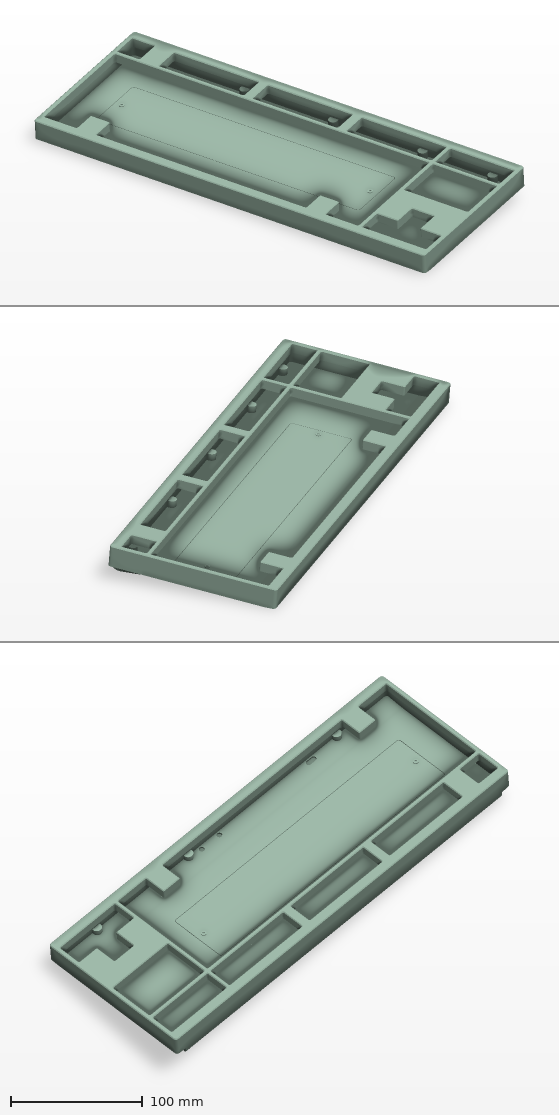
import cadquery as cq


CASE_WIDTH = 356.5
CASE_DEPTH = 137.3
CORNER_RADIUS = 2.5
TILT = 4.5
FRONT_EDGE_Y = -69.2
FRONT_EDGE_Z = 16.8

SIDE_MARGIN = 4.5
KEY_GAP = 0.7
COLUMNS = 18.25
ROWS = 6.25
FUNCTION_ROW = 5.25
NAVIGATION_COLUMN = 15.25
MAIN_COLUMNS = 15
MAIN_ROWS = 5
FUNCTION_GROUPS = [(0, 1), (2, 6), (6.5, 10.5), (11, 15), (NAVIGATION_COLUMN, COLUMNS)]
BLANKED_COLUMNS = [1.5, 12.5]
KEY_PITCH = (CASE_WIDTH - 2 * SIDE_MARGIN) / COLUMNS
GRID_LEFT = -COLUMNS * KEY_PITCH / 2
GRID_FRONT = (CASE_DEPTH - ROWS * KEY_PITCH) / 2

FRAME_WEB = 8.2
FRAME_DEPTH = 10.7
SIDE_DEPTH = 17.5
FLOOR_DEPTH = 16.5
BLANK_DEPTH = 32.0

RIM_CHAMFER = 0.7
OPENING_CHAMFER = 0.7
OPENING_RADIUS = 1.0

SIDE_WALL = 3.5
END_WALL = 7.5
FRONT_FLOOR_Z = 2.32

POST_DIAMETER = 8.0
REAR_POST_Y = 128.0
FRONT_POST_Y = 8.5
REAR_POST_X = [-151.5, -71.7, 9.3, 91.0, 154.8]
FRONT_POST_X = [-120.5, 38.0, 136.0]

HOLE_DIAMETER = 4.3
HOLE_DEPTH = 1.5
HOLE_Y = -57.5
HOLE_X = [7.0, 26.0]
SLOT_X = -91.0
SLOT_LENGTH = 9.5

PLATE_WIDTH = 239.5
PLATE_LENGTH = 50.0
PLATE_X = -31.5
PLATE_Y = 69.2
PLATE_THICKNESS = 2.0
PLATE_RADIUS = 1.8
PLATE_CLEARANCE = 0.5
STUD_DIAMETER = 4.3
STUD_BORE = 2.07
STUD_HEIGHT = 0.7
STUD_SPACING = 227.0

VALLEY_FRONT_Y = 3.5
VALLEY_FRONT_FLANK = (8.0, 1.25)
VALLEY_CREST = (18.5, 3.03)
VALLEY_REAR_FLANK = (29.2, 1.5)
VALLEY_REAR_Y = 36.5
FOOT_REAR_Y = 51.0
HEEL_START = (62.8, 0.9)
HEEL_END = (69.5, 6.5)
SIDE_LEDGE = 9.0
LEDGE_RISE = 0.55
REAR_BEVEL = 1.8
FRONT_BEVEL = 42.8


def tilted(body):
    """Move a body from the level position to its place in the tilted case."""
    turned = body.rotate((0, 0, 0), (1, 0, 0), TILT)
    return turned.translate((0, FRONT_EDGE_Y, FRONT_EDGE_Z))


def rounded_block(width, front, rear, top, bottom, radius, center_x=0):
    """Upright block with rounded vertical corners; top and bottom are heights."""
    return (
        cq.Workplane("XY", origin=(center_x, (front + rear) / 2, bottom))
        .rect(width, rear - front)
        .extrude(top - bottom)
        .edges("|Z")
        .fillet(radius)
    )


def key_x(column):
    return GRID_LEFT + column * KEY_PITCH


def key_y(row):
    return GRID_FRONT + row * KEY_PITCH


def key_block(first_column, last_column, first_row, last_row, gap=KEY_GAP):
    """Block covering a range of keys, widened by the gap on every side."""
    left = key_x(first_column) - gap
    right = key_x(last_column) + gap
    front = key_y(first_row) - gap
    rear = key_y(last_row) + gap
    return (
        cq.Workplane("XY", origin=((left + right) / 2, (front + rear) / 2, -FRAME_DEPTH))
        .rect(right - left, rear - front)
        .extrude(FRAME_DEPTH)
    )


def case_block(top, bottom):
    return rounded_block(CASE_WIDTH, 0, CASE_DEPTH, top, bottom, CORNER_RADIUS)


def cavity_block(top, bottom):
    width = CASE_WIDTH - 2 * SIDE_WALL
    return rounded_block(width, END_WALL, CASE_DEPTH - END_WALL, top, bottom, CORNER_RADIUS)


def key_openings():
    """One block for each opening of the frame."""
    openings = [
        key_block(first, last, FUNCTION_ROW, ROWS)
        for first, last in FUNCTION_GROUPS
    ]

    main = key_block(0, MAIN_COLUMNS, 0, MAIN_ROWS)
    for column in BLANKED_COLUMNS:
        main = main.cut(key_block(column, column + 1, -1, 1, -KEY_GAP))
    openings.append(main)

    openings.append(key_block(NAVIGATION_COLUMN, COLUMNS, 3, MAIN_ROWS))
    up_column = NAVIGATION_COLUMN + 1
    arrow_row = key_block(NAVIGATION_COLUMN, COLUMNS, 0, 1)
    openings.append(arrow_row.union(key_block(up_column, up_column + 1, 0, 2)))
    return [opening.edges("|Z").fillet(OPENING_RADIUS) for opening in openings]


def make_frame():
    frame = case_block(0, -FRAME_DEPTH).faces(">Z").edges().chamfer(RIM_CHAMFER)
    frame = frame.cut(cavity_block(-FRAME_WEB, -FRAME_DEPTH))
    for opening in key_openings():
        frame = frame.cut(opening)
    opening_rims = [edge for wire in frame.faces(">Z").val().innerWires() for edge in wire.Edges()]
    frame = frame.newObject(opening_rims).chamfer(OPENING_CHAMFER)
    return tilted(frame)


def underside_envelope():
    """Everything above the underside: flat front, valley, rear foot and round heel."""
    front = -CASE_DEPTH
    rear = HEEL_END[0]
    valley = [VALLEY_FRONT_FLANK, VALLEY_CREST, VALLEY_REAR_FLANK, (VALLEY_REAR_Y, 0)]
    return (
        cq.Workplane("YZ", origin=(-CASE_WIDTH, 0, 0))
        .moveTo(front, BLANK_DEPTH)
        .lineTo(front, 0)
        .lineTo(VALLEY_FRONT_Y, 0)
        .spline(valley, includeCurrent=True)
        .lineTo(FOOT_REAR_Y, 0)
        .lineTo(*HEEL_START)
        .tangentArcPoint(HEEL_END, relative=False)
        .lineTo(rear, BLANK_DEPTH)
        .close()
        .extrude(2 * CASE_WIDTH)
    )


def bevel_section(y, lean):
    half = CASE_WIDTH / 2
    keel_half = half - SIDE_LEDGE
    keel_top = -SIDE_DEPTH - LEDGE_RISE
    corners = [
        (-half, -FRAME_DEPTH),
        (half, -FRAME_DEPTH),
        (half, -SIDE_DEPTH),
        (keel_half, keel_top),
        (keel_half - lean, -BLANK_DEPTH),
        (lean - keel_half, -BLANK_DEPTH),
        (-keel_half, keel_top),
        (-half, -SIDE_DEPTH),
    ]
    return cq.Wire.makePolygon([cq.Vector(x, y, z) for x, z in corners], close=True)


def side_bevels():
    """Envelope with a ledge under each side and sides that lean ever flatter toward the front."""
    sections = [bevel_section(0, FRONT_BEVEL), bevel_section(CASE_DEPTH, REAR_BEVEL)]
    return cq.Workplane(cq.Solid.makeLoft(sections, True))


def tray_cavity():
    """Room above the floor: sloping at the rear, level at the front."""
    ground_room = (
        cq.Workplane("XY", origin=(0, 0, FRONT_FLOOR_Z))
        .rect(2 * CASE_WIDTH, 2 * CASE_DEPTH)
        .extrude(BLANK_DEPTH)
    )
    return tilted(cavity_block(-FRAME_DEPTH, -FLOOR_DEPTH)).intersect(ground_room)


def screw_posts():
    centers = [(x, REAR_POST_Y) for x in REAR_POST_X] + [(x, FRONT_POST_Y) for x in FRONT_POST_X]
    return tilted(
        cq.Workplane("XY", origin=(0, 0, -FLOOR_DEPTH))
        .pushPoints(centers)
        .circle(POST_DIAMETER / 2)
        .extrude(FLOOR_DEPTH - FRAME_DEPTH)
    )


def floor_holes():
    floor = cq.Workplane("XY", origin=(0, 0, FRONT_FLOOR_Z))
    round_holes = (
        floor.pushPoints([(x, HOLE_Y) for x in HOLE_X])
        .circle(HOLE_DIAMETER / 2)
        .extrude(-HOLE_DEPTH)
    )
    slot = floor.center(SLOT_X, HOLE_Y).slot2D(SLOT_LENGTH, HOLE_DIAMETER).extrude(-HOLE_DEPTH)
    return round_holes.union(slot)


def plate_block(clearance):
    half_length = PLATE_LENGTH / 2 + clearance
    return rounded_block(
        PLATE_WIDTH + 2 * clearance,
        PLATE_Y - half_length,
        PLATE_Y + half_length,
        -FLOOR_DEPTH,
        -FLOOR_DEPTH - PLATE_THICKNESS,
        PLATE_RADIUS + clearance,
        PLATE_X,
    )


def make_tray():
    blank = case_block(-FRAME_DEPTH, -BLANK_DEPTH).intersect(side_bevels())
    tray = tilted(blank).intersect(underside_envelope())
    tray = tray.cut(tray_cavity().cut(screw_posts()))
    return tray.cut(floor_holes()).cut(tilted(plate_block(PLATE_CLEARANCE)))


def make_plate():
    """Plate flush with the floor, with a hollow stud near each end."""
    studs = (
        cq.Workplane("XY", origin=(PLATE_X, PLATE_Y, -FLOOR_DEPTH))
        .rarray(STUD_SPACING, 3.5, 2, 1)
        .circle(STUD_DIAMETER / 2)
        .circle(STUD_BORE / 2)
        .extrude(STUD_HEIGHT)
    )
    return tilted(plate_block(0).union(studs))


frame = make_frame()
tray = make_tray()
plate = make_plate()

result = cq.Compound.makeCompound([body.solids().val() for body in (frame, tray, plate)])